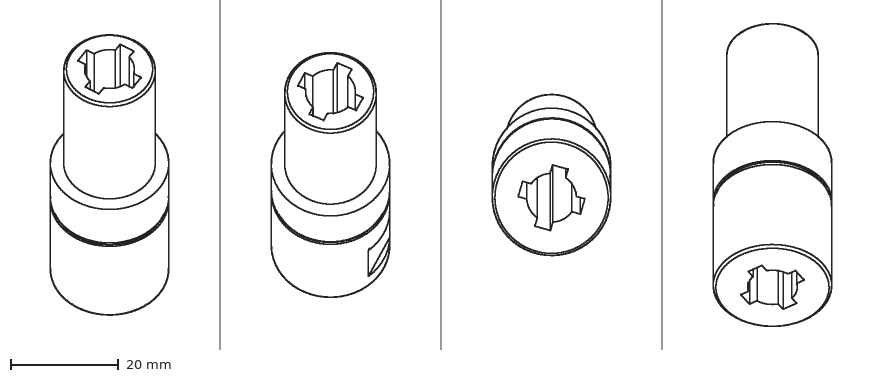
import cadquery as cq

total_height = 60.0
body_diameter = 22.0
body_height = 32.0
neck_diameter = 17.0
end_chamfer = 0.5

groove_bottom = 21.0
groove_width = 1.0
groove_depth = 0.4

flat_bottom = 4.0
flat_height = 10.0
flat_depth = 1.0

bore_diameter = 9.2
keyway_span = 12.0
keyway_width = 3.0


def make_body():
    """Body and neck turned on the Z axis, with both outer ends chamfered."""
    body = cq.Workplane("XY").circle(body_diameter / 2).extrude(body_height)
    body = body.faces("<Z").edges().chamfer(end_chamfer)
    neck = cq.Workplane("XY").circle(neck_diameter / 2).extrude(total_height)
    neck = neck.faces(">Z").edges().chamfer(end_chamfer)
    return body.union(neck)


def make_groove():
    """Ring of material removed by the groove."""
    return (
        cq.Workplane("XY")
        .workplane(offset=groove_bottom)
        .circle(body_diameter / 2)
        .circle(body_diameter / 2 - groove_depth)
        .extrude(groove_width)
    )


def make_flat():
    """Block that cuts the flat across the +Y side."""
    return (
        cq.Workplane("XY")
        .box(body_diameter, flat_depth, flat_height, centered=(True, False, False))
        .translate((0, body_diameter / 2 - flat_depth, flat_bottom))
    )


def make_keyed_bore():
    """Round bore plus two crossed bars that form the four keyways."""
    bore = cq.Workplane("XY").circle(bore_diameter / 2).extrude(total_height)
    for angle in (0, 90):
        bar = (
            cq.Workplane("XY")
            .rect(keyway_span, keyway_width)
            .extrude(total_height)
            .rotate((0, 0, 0), (0, 0, 1), angle)
        )
        bore = bore.union(bar)
    return bore


result = make_body().cut(make_groove()).cut(make_flat()).cut(make_keyed_bore())